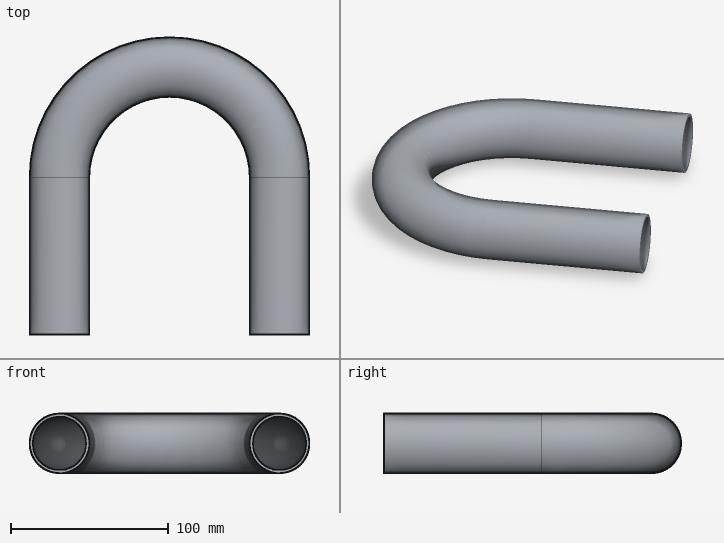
import cadquery as cq

overall_length = 188.8
tube_diameter = 38.0
wall_thickness = 2.0
bend_radius = 69.9

tube_radius = tube_diameter / 2
bore_radius = tube_radius - wall_thickness
leg_length = overall_length - bend_radius - tube_radius

centreline = (
    cq.Workplane("XY")
    .moveTo(-bend_radius, -leg_length)
    .lineTo(-bend_radius, 0)
    .threePointArc((0, bend_radius), (bend_radius, 0))
    .lineTo(bend_radius, -leg_length)
)

end_plane = cq.Plane(origin=(-bend_radius, -leg_length, 0), xDir=(1, 0, 0), normal=(0, 1, 0))
result = cq.Workplane(end_plane).circle(tube_radius).circle(bore_radius).sweep(centreline)